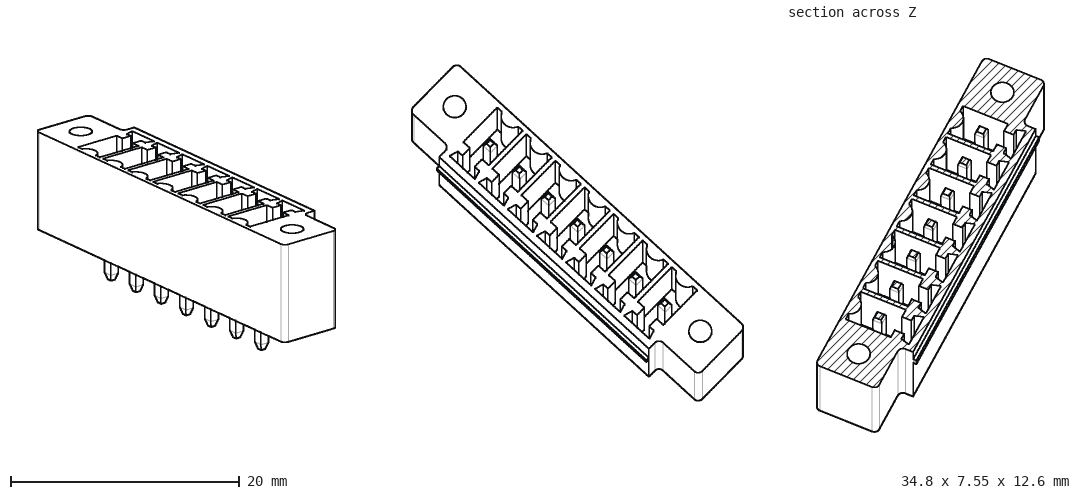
import cadquery as cq

length = 34.8
flange_depth = 6.0
back_depth = 7.25
back_length = 25.25
housing_height = 9.2
corner_radius = 0.5
front_y = -flange_depth / 2
back_y = front_y + back_depth

ridge_projection = 0.3
ridge_height = 0.63
ridge_drop = 2.92

pin_count = 7
pin_span = 21.02
pin_width = 0.87
pin_tip_width = 0.45
pin_taper = 0.65
pin_tail = 3.4
pin_top = 7.75

floor_height = 2.0
front_wall = 0.5
cavity_width = 3.05
cavity_depth = 4.3
neck_width = 1.45
neck_depth = 0.95
keyway_front_width = 2.58
keyway_depth = 0.8
rib_width = 1.95
rib_projection = 0.65

hole_diameter = 2.0
hole_spacing = 29.58
hole_depth = 6.95

pitch = pin_span / (pin_count - 1)
pin_positions = [i * pitch - pin_span / 2 for i in range(pin_count)]


def make_housing():
    half_length = length / 2
    half_back = back_length / 2
    flange_y = front_y + flange_depth
    block = (
        cq.Workplane("XY")
        .polyline([
            (-half_length, front_y),
            (half_length, front_y),
            (half_length, flange_y),
            (half_back, flange_y),
            (half_back, back_y),
            (-half_back, back_y),
            (-half_back, flange_y),
            (-half_length, flange_y),
        ])
        .close()
        .extrude(housing_height)
    )
    block = block.edges("|Z and (not >Y)").fillet(corner_radius)
    ridge = (
        cq.Workplane("XY", origin=(0, back_y, housing_height - ridge_drop))
        .box(back_length, 2 * ridge_projection, ridge_height, centered=(True, True, False))
        .translate((0, 0, -ridge_height))
    )
    return block.union(ridge)


def make_cavity():
    """Keyed contact cavity, open at the top of the housing."""
    half_cavity = cavity_width / 2
    half_neck = neck_width / 2
    half_keyway = keyway_front_width / 2
    half_rib = rib_width / 2
    wall_y = front_y + front_wall
    neck_y = wall_y + cavity_depth
    keyway_y = neck_y + neck_depth
    keyway_back_y = keyway_y + keyway_depth
    return (
        cq.Workplane("XY", origin=(0, 0, floor_height))
        .moveTo(-half_cavity, wall_y)
        .lineTo(-half_rib, wall_y)
        .threePointArc((0, wall_y + rib_projection), (half_rib, wall_y))
        .lineTo(half_cavity, wall_y)
        .lineTo(half_cavity, neck_y)
        .lineTo(half_neck, neck_y)
        .lineTo(half_neck, keyway_y)
        .lineTo(half_keyway, keyway_y)
        .lineTo(half_cavity, keyway_back_y)
        .lineTo(-half_cavity, keyway_back_y)
        .lineTo(-half_keyway, keyway_y)
        .lineTo(-half_neck, keyway_y)
        .lineTo(-half_neck, neck_y)
        .lineTo(-half_cavity, neck_y)
        .close()
        .extrude(housing_height - floor_height)
    )


def make_pin():
    """Square pin tapered at both ends."""
    shank_bottom = -pin_tail + pin_taper
    shank_top = pin_top - pin_taper
    shank = (
        cq.Workplane("XY", origin=(0, 0, shank_bottom))
        .rect(pin_width, pin_width)
        .extrude(shank_top - shank_bottom)
    )
    for base, taper in ((shank_bottom, -pin_taper), (shank_top, pin_taper)):
        tip = (
            cq.Workplane("XY", origin=(0, 0, base))
            .rect(pin_width, pin_width)
            .workplane(offset=taper)
            .rect(pin_tip_width, pin_tip_width)
            .loft()
        )
        shank = shank.union(tip)
    return shank


def make_mounting_holes():
    """Blind holes in the two end flanges."""
    return (
        cq.Workplane("XY", origin=(0, 0, housing_height))
        .rarray(hole_spacing, 0.35, 2, 1)
        .circle(hole_diameter / 2)
        .extrude(-hole_depth)
    )


result = make_housing().cut(make_mounting_holes())
cavity = make_cavity()
pin = make_pin()
for x in pin_positions:
    result = result.cut(cavity.translate((x, 0, 0)))
    result = result.union(pin.translate((x, 0, 0)))